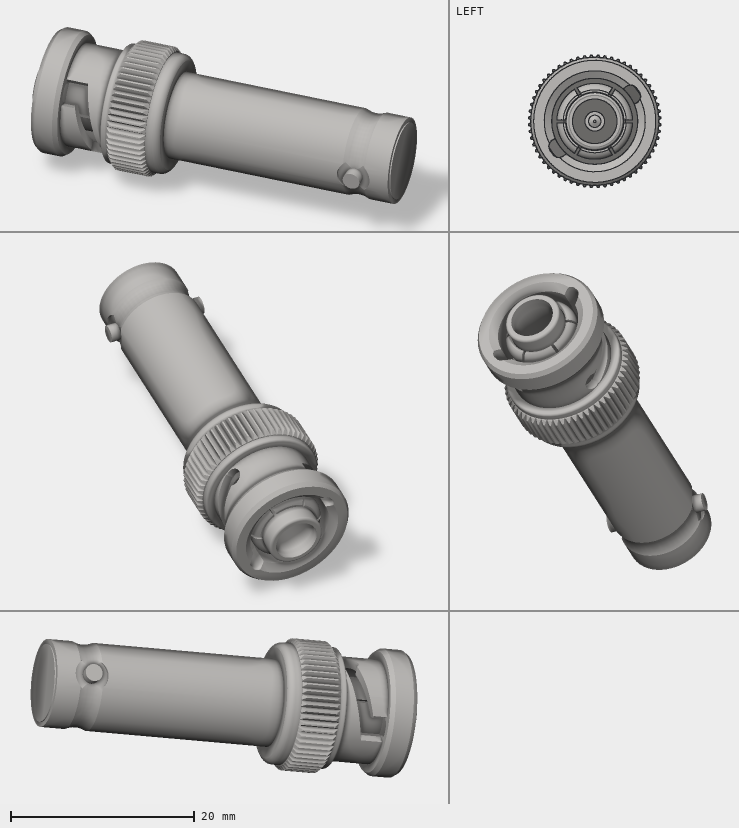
import cadquery as cq
import math


length = 41.9
flange_start = 1.17
flange_end = 4.25
socket_floor = 7.75
neck_end = 8.35
collar_start = 9.15
knurl_start = 9.95
knurl_end = 14.38
collar_end = 15.9
jack_lip = 0.13

flange_dia = 14.0
sleeve_dia = 11.5
sleeve_bore = 9.4
sleeve_mouth_dia = 11.02
sleeve_mouth_depth = 0.65
collar_dia = 13.35
body_dia = 9.65
jack_lip_dia = 8.55
flange_chamfer_length = 0.5
flange_chamfer_depth = 0.35
collar_front_fillet = 0.25
collar_rear_length = 0.75
collar_rear_depth = 0.6

knurl_size = 14.45
tooth_count = 60
tooth_tip_width = 0.15
knurl_chamfer = 0.4

tube_dia = 6.25
tube_bore = 4.85
tube_tip_fillet = 0.3
finger_bore = 6.35
finger_dia = 7.3
bulge_dia = 8.25
finger_lip_dia = 6.87
finger_start = 1.95
bulge_x = 2.9
bulge_end = 4.02
neck_dia = 6.7
slit_width = 0.35
slit_count = 6
pin_dia = 1.35
pin_start = 3.77
pin_tip_length = 0.4
pin_tip_dia = 0.25
pin_shoulder_dia = 2.15
pin_shoulder_start = 5.05

slot_count = 2
entry_angle = 36.0
entry_half_angle = 14.7
entry_end = 5.75
notch_width = 2.1
notch_radius = 5.83
notch_corner = 0.85
ramp_width = 1.65
ramp_pitch = 9.2
ramp_x_at_zero = 7.15
ramp_end_angle = -41.0
detent_angle = -46.0
detent_x = 8.05
detent_dia = 1.93

lug_x = 37.8
lug_dia = 1.93
lug_reach = 5.55
groove_half_width = 1.25
groove_depth = 0.3
seat_dia = 3.77
seat_height = 4.45

CUT_MARGIN = 0.4


def turned(profile):
    """Revolve a closed profile drawn as (x, radius) about the X axis."""
    return profile.close().revolve(360, (0, 0, 0), (1, 0, 0))


def rod(start, end, dia):
    return cq.Workplane("YZ", origin=(start, 0, 0)).circle(dia / 2).extrude(end - start)


def tube(start, end, outer_dia, inner_dia):
    return rod(start, end, outer_dia).cut(rod(start, end, inner_dia))


def about_x(shape, angle):
    return shape.rotate((0, 0, 0), (1, 0, 0), angle)


def make_flange():
    """Ring with long shallow chamfers on both outer edges."""
    outer_radius = flange_dia / 2
    edge_radius = outer_radius - flange_chamfer_depth
    return turned(
        cq.Workplane("XY")
        .moveTo(flange_start, sleeve_bore / 2)
        .lineTo(flange_start, edge_radius)
        .lineTo(flange_start + flange_chamfer_length, outer_radius)
        .lineTo(flange_end - flange_chamfer_length, outer_radius)
        .lineTo(flange_end, edge_radius)
        .lineTo(flange_end, sleeve_bore / 2)
    )


def make_mouth_countersink():
    return turned(
        cq.Workplane("XY")
        .moveTo(flange_start, 0)
        .lineTo(flange_start, sleeve_mouth_dia / 2)
        .lineTo(flange_start + sleeve_mouth_depth, sleeve_bore / 2)
        .lineTo(flange_start + sleeve_mouth_depth, 0)
    )


def make_notch():
    """Lug passage through the flange bore, on the +Y side."""
    notch_length = flange_end - flange_start
    notch = cq.Workplane("XY").box(
        notch_length, notch_radius, notch_width, centered=(False, False, True)
    )
    return notch.edges("|X and >Y").fillet(notch_corner).translate((flange_start, 0, 0))


def make_entry():
    """Straight slot through the sleeve wall with radial sides, on the +Y side."""
    reach = sleeve_dia / 2 + CUT_MARGIN
    half_width = reach * math.tan(math.radians(entry_half_angle))
    return (
        cq.Workplane("YZ", origin=(flange_end, 0, 0))
        .polyline([(0, 0), (reach, -half_width), (reach, half_width)])
        .close()
        .extrude(entry_end - flange_end)
    )


def make_ramp():
    """Helical slot from the far side of the entry to the detent hole."""
    start_angle = entry_angle + entry_half_angle
    sweep_angle = start_angle - ramp_end_angle
    start_x = ramp_x_at_zero - ramp_pitch * start_angle / 360
    middle_radius = (sleeve_dia + sleeve_bore) / 4
    wall_cut = (sleeve_dia - sleeve_bore) / 2 + CUT_MARGIN
    helix = cq.Wire.makeHelix(ramp_pitch, ramp_pitch * sweep_angle / 360, middle_radius)
    ramp = (
        cq.Workplane("XZ")
        .center(middle_radius, 0)
        .rect(wall_cut, ramp_width)
        .sweep(cq.Workplane(helix), isFrenet=True)
    )
    ramp = ramp.rotate((0, 0, 0), (1, 1, 1), 120)
    return about_x(ramp, 180 - start_angle).translate((start_x, 0, 0))


def make_detent():
    hole = cq.Workplane("XZ").circle(detent_dia / 2).extrude(-sleeve_dia)
    return about_x(hole, 180 - detent_angle).translate((detent_x, 0, 0))


def make_coupling_shell():
    """Flange and sleeve, opened by the mouth and the bayonet slots."""
    shell = make_flange().union(tube(flange_end, collar_start, sleeve_dia, sleeve_bore))
    shell = shell.cut(make_mouth_countersink())
    entry_turn = 180 - entry_angle
    slot_tools = [
        about_x(make_notch(), entry_turn),
        about_x(make_entry(), entry_turn),
        make_ramp(),
        make_detent(),
    ]
    for i in range(slot_count):
        for tool in slot_tools:
            shell = shell.cut(about_x(tool, i * 360 / slot_count))
    return shell


def make_collar():
    """Disc with a small front fillet and a rear edge rounded down to a crisp corner."""
    radius = collar_dia / 2
    collar = turned(
        cq.Workplane("XY")
        .moveTo(collar_start, 0)
        .lineTo(collar_start, radius)
        .lineTo(collar_end - collar_rear_length, radius)
        .tangentArcPoint((collar_end, radius - collar_rear_depth), relative=False)
        .lineTo(collar_end, 0)
    )
    return collar.faces("<X").edges().fillet(collar_front_fillet)


def make_knurl():
    """Ring of narrow-tipped teeth, meeting in sharp roots, with both ends chamfered."""
    half_pitch = math.pi / tooth_count
    root_radius = collar_dia / 2
    tip_half_angle = tooth_tip_width / knurl_size
    tip_radius = knurl_size / 2 / math.cos(half_pitch - tip_half_angle)
    points = []
    for i in range(tooth_count):
        root_angle = 2 * i * half_pitch
        tip_angle = root_angle + half_pitch
        tooth = (
            (root_radius, root_angle),
            (tip_radius, tip_angle - tip_half_angle),
            (tip_radius, tip_angle + tip_half_angle),
        )
        for radius, angle in tooth:
            points.append((radius * math.cos(angle), radius * math.sin(angle)))
    knurl_length = knurl_end - knurl_start
    teeth = cq.Workplane("YZ", origin=(knurl_start, 0, 0)).polyline(points).close().extrude(knurl_length)
    envelope = rod(knurl_start, knurl_end, 2 * tip_radius).edges().chamfer(knurl_chamfer)
    return teeth.intersect(envelope)


def make_fingers():
    """Slotted spring ring with a rounded bulge at its mouth."""
    ring = turned(
        cq.Workplane("XY")
        .moveTo(finger_start, finger_bore / 2)
        .lineTo(finger_start, finger_lip_dia / 2)
        .threePointArc((bulge_x, bulge_dia / 2), (bulge_end, finger_dia / 2))
        .lineTo(socket_floor, finger_dia / 2)
        .lineTo(socket_floor, finger_bore / 2)
    )
    slit = cq.Workplane("XY").box(
        socket_floor - finger_start, bulge_dia, slit_width, centered=(False, False, True)
    )
    slit = slit.translate((finger_start, 0, 0))
    for i in range(slit_count):
        ring = ring.cut(about_x(slit, i * 360 / slit_count))
    return ring


def make_contact_tube():
    contact = rod(0, socket_floor, tube_dia).faces("<X").edges().fillet(tube_tip_fillet)
    return contact.cut(rod(0, socket_floor, tube_bore))


def make_pin():
    """Centre contact with a tapered tip, standing on a wider shoulder."""
    return turned(
        cq.Workplane("XY")
        .moveTo(pin_start, 0)
        .lineTo(pin_start, pin_tip_dia / 2)
        .lineTo(pin_start + pin_tip_length, pin_dia / 2)
        .lineTo(pin_shoulder_start, pin_dia / 2)
        .lineTo(pin_shoulder_start, pin_shoulder_dia / 2)
        .lineTo(socket_floor, pin_shoulder_dia / 2)
        .lineTo(socket_floor, 0)
    )


def make_jack():
    """Plain barrel with a round-bottomed groove, flat lug seats and two lugs."""
    body_end = length - jack_lip
    body_radius = body_dia / 2
    barrel = turned(
        cq.Workplane("XY")
        .moveTo(collar_end, 0)
        .lineTo(collar_end, body_radius)
        .lineTo(lug_x - groove_half_width, body_radius)
        .threePointArc(
            (lug_x, body_radius - groove_depth),
            (lug_x + groove_half_width, body_radius),
        )
        .lineTo(body_end, body_radius)
        .lineTo(body_end, jack_lip_dia / 2)
        .lineTo(length, jack_lip_dia / 2)
        .lineTo(length, 0)
    )
    for side in (1, -1):
        seat_plane = cq.Workplane("XZ", origin=(lug_x, side * seat_height, 0))
        barrel = barrel.cut(seat_plane.circle(seat_dia / 2).extrude(-side * lug_reach))
    lugs = cq.Workplane("XZ", origin=(lug_x, 0, 0)).circle(lug_dia / 2).extrude(lug_reach, both=True)
    return barrel.union(lugs)


core = rod(neck_end, collar_end, sleeve_bore)
neck = rod(socket_floor, neck_end, neck_dia)

result = (
    core.union(neck)
    .union(make_collar())
    .union(make_knurl())
    .union(make_jack())
    .union(make_coupling_shell())
    .union(make_fingers())
    .union(make_contact_tube())
    .union(make_pin())
)